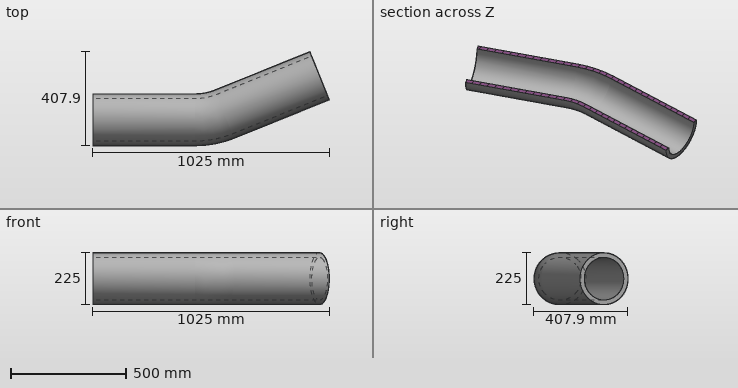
import cadquery as cq
import math

overall_length = 1025.0
outer_diameter = 225.0
inner_diameter = 185.0
bend_angle = 22.0
bend_radius = 338.0

sin_bend = math.sin(math.radians(bend_angle))
cos_bend = math.cos(math.radians(bend_angle))

bend_length = bend_radius * sin_bend
end_face_reach = outer_diameter / 2 * sin_bend
leg_length = (overall_length - bend_length - end_face_reach) / (1 + cos_bend)


def pipe_section(plane):
    """Annular pipe cross-section, centred on the plane origin."""
    return cq.Workplane(plane).circle(outer_diameter / 2).circle(inner_diameter / 2)


start_plane = cq.Plane(origin=(0, 0, 0), xDir=(0, 1, 0), normal=(1, 0, 0))
bend_start_plane = cq.Plane(origin=(leg_length, 0, 0), xDir=(0, 1, 0), normal=(1, 0, 0))
bend_end_plane = cq.Plane(
    origin=(leg_length + bend_length, bend_radius * (1 - cos_bend), 0),
    xDir=(-sin_bend, cos_bend, 0),
    normal=(cos_bend, sin_bend, 0),
)

first_leg = pipe_section(start_plane).extrude(leg_length)
bend = pipe_section(bend_start_plane).revolve(bend_angle, (bend_radius, 0, 0), (bend_radius, 1, 0))
second_leg = pipe_section(bend_end_plane).extrude(leg_length)

result = first_leg.union(bend).union(second_leg)